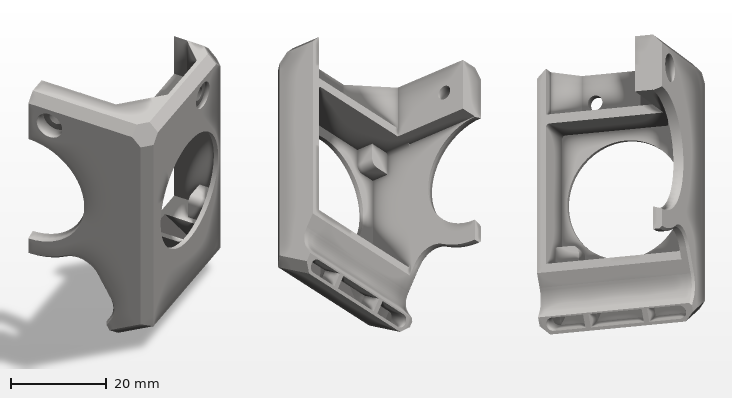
import cadquery as cq
import math

width = 28.5
depth = 34.0
height = 56.85
bevel = 2.0
corner_cut = 3 * bevel
plate = 2.0
beam = 5.95
block_x = 17.5
margin = 2.85

foot_angle = math.radians(30)
tip_x = 20.15
heel_z = (width - tip_x) * math.tan(foot_angle)

groove_radius = 5.0
groove_x = 14.8
groove_z = 7.5
groove_edge = 0.5
opening_z = 32.25
rim_radius = 17.45
blend_radius = 5.45

opening_radius = 12.55
opening_front_radius = 13.2

fan_bottom = 14.6
fan_height = 30.3
fan_top = fan_bottom + fan_height
fan_corner = 0.8
fan_wall_x = width - 1.0
fan_hole_diameter = 25.7
fan_hole_y = 18.0
fan_hole_z = 29.75
post_size = 5.1
post_round = 1.55
post_height = 4

bay_floor = fan_top + plate
bay_back_x = 25.55
bay_mouth_x = 20.45
bay_side = bay_back_x - block_x

screw_diameter = 3.2
head_diameter = 6.0
head_depth = 3.0
side_head_depth = 1.0
screw_x = 5.0
screw_y = 24.0
screw_z = 50.8

inlet_x = 18.7
inlet_end_x = width - bevel
inlet_length = 17.05
slot_length = 30.95
slot_height = 2.9
slot_offset = 0.7
slot_depth = 4.55
throat_length = 27.85
rib = 1.2
rib_spread = 6.5
inlet_rib_spread = inlet_length / 6
rib_recess = 0.55


def block(x0, x1, y0, y1, z0, z1):
    """Box between two opposite corners."""
    return cq.Workplane("XY").box(x1 - x0, y1 - y0, z1 - z0, centered=False).translate((x0, y0, z0))


def side_prism(outline):
    """Closed XZ outline extruded over the whole depth."""
    return outline.close().extrude(-depth)


def make_side_profile():
    cos_a = math.cos(foot_angle)
    sin_a = math.sin(foot_angle)

    upper = (groove_x + groove_radius * cos_a, groove_z + groove_radius * sin_a)
    lower = (upper[0], groove_z - groove_radius * sin_a)
    tip_length = (lower[1] / cos_a + (tip_x - lower[0]) / sin_a) / 2
    lip = (tip_x - tip_length * sin_a, tip_length * cos_a)

    flank = upper[0] * cos_a + (upper[1] - opening_z) * sin_a - blend_radius
    reach = rim_radius + blend_radius
    along = math.sqrt(reach**2 - flank**2)
    blend_x = flank * cos_a + along * sin_a
    blend_dz = flank * sin_a - along * cos_a
    blend_z = opening_z + blend_dz
    flank_end = (blend_x + blend_radius * cos_a, blend_z + blend_radius * sin_a)
    rim_end = (blend_x * rim_radius / reach, opening_z + blend_dz * rim_radius / reach)
    rim_angle = math.asin(rim_end[0] / rim_radius) / 2
    rim_mid = (rim_radius * math.sin(rim_angle), opening_z - rim_radius * math.cos(rim_angle))

    profile = side_prism(
        cq.Workplane("XZ")
        .moveTo(0, height)
        .lineTo(width, height)
        .lineTo(width, heel_z)
        .lineTo(tip_x, 0)
        .lineTo(*lip)
        .lineTo(*lower)
        .threePointArc((groove_x + groove_radius, groove_z), upper)
        .lineTo(*flank_end)
        .threePointArc((blend_x, blend_z + blend_radius), rim_end)
        .threePointArc(rim_mid, (0, opening_z - rim_radius))
    )
    tiny = 0.05
    groove_edges = cq.selectors.BoxSelector(
        (tiny, -tiny, lip[1] + tiny), (groove_x + groove_radius, tiny, opening_z - opening_radius)
    )
    return profile.edges(groove_edges).chamfer(groove_edge)


def make_bevelled_envelope():
    """Outer shape with bevelled edges, running past the part on its -X side."""
    left = -2 * margin
    low_z = heel_z - (width - left) * math.tan(foot_angle)
    envelope = side_prism(
        cq.Workplane("XZ")
        .moveTo(left, height)
        .lineTo(width, height)
        .lineTo(width, heel_z)
        .lineTo(left, low_z)
    )
    envelope = envelope.faces(">X").edges(">Z").chamfer(bevel)
    for y, facing in ((0, -1), (depth, 1)):
        planes = [
            ((0, y, height - bevel), (0, facing, 1)),
            ((width - bevel, y, 0), (1, facing, 0)),
            ((tip_x - bevel * math.sin(foot_angle), y, bevel * math.cos(foot_angle)),
             (math.sin(foot_angle), facing, -math.cos(foot_angle))),
            ((width - corner_cut, y, height), (1, facing, 1)),
        ]
        for origin, normal in planes:
            bevel_plane = cq.Workplane(cq.Plane(origin, normal=normal))
            envelope = envelope.cut(bevel_plane.rect(4 * height, 4 * height).extrude(height))
    return envelope


def cut_inner_corner(body):
    """Leave a thin front plate, a thick beam along its top and the block at +X."""
    body = body.cut(block(-margin, block_x, plate, depth, 0, fan_top))
    return body.cut(block(-margin, block_x, beam, depth, fan_top, height))


def cut_front_opening(body):
    cone = cq.Solid.makeCone(
        opening_front_radius, opening_radius, plate, cq.Vector(0, 0, opening_z), cq.Vector(0, 1, 0)
    )
    return body.cut(cq.Workplane(cone))


def cut_fan_pocket(body):
    pocket = block(block_x, fan_wall_x, plate, depth - plate, fan_bottom, fan_top)
    pocket = pocket.edges("|X").edges(">Z").fillet(fan_corner)
    pocket = pocket.faces("<Y").edges("<Z").fillet(fan_corner)
    post = block(fan_wall_x - post_height, width, -post_size, post_size, -post_size, post_size)
    post = post.edges("|X").fillet(post_round)
    pocket = pocket.cut(post.translate((0, plate, fan_top)))
    pocket = pocket.cut(post.translate((0, depth - plate, fan_bottom)))
    air_hole = cq.Workplane("YZ", origin=(block_x, fan_hole_y, fan_hole_z)).circle(fan_hole_diameter / 2)
    return body.cut(pocket).cut(air_hole.extrude(width))


def cut_bay(body):
    back = depth - plate
    bay = (
        cq.Workplane("XY", origin=(0, 0, bay_floor))
        .moveTo(block_x, beam)
        .lineTo(bay_back_x, beam + bay_side)
        .lineTo(bay_back_x, back - (bay_back_x - bay_mouth_x))
        .lineTo(bay_mouth_x, back)
        .lineTo(block_x, back)
        .close()
        .extrude(height)
    )
    return body.cut(bay)


def cut_screw_holes(body):
    front = cq.Workplane("XZ").center(screw_x, screw_z)
    body = body.cut(front.circle(screw_diameter / 2).extrude(-beam))
    body = body.cut(front.circle(head_diameter / 2).extrude(-head_depth))
    side = cq.Workplane("YZ", origin=(bay_mouth_x, 0, 0)).center(screw_y, screw_z)
    body = body.cut(side.circle(screw_diameter / 2).extrude(width))
    side_head = cq.Workplane("YZ", origin=(width - side_head_depth, 0, 0)).center(screw_y, screw_z)
    return body.cut(side_head.circle(head_diameter / 2).extrude(margin))


def cut_duct(body):
    middle = depth / 2
    inward = (math.cos(foot_angle), math.sin(foot_angle))
    slot_middle = slot_offset + slot_height / 2
    slot_x = tip_x - slot_middle * math.sin(foot_angle)
    slot_z = slot_middle * math.cos(foot_angle)

    def tip_plane(distance):
        """Plane parallel to the tip face, this far inside it, with local X along Y."""
        origin = (slot_x + distance * inward[0], middle, slot_z + distance * inward[1])
        return cq.Plane(origin, xDir=(0, 1, 0), normal=(inward[0], 0, inward[1]))

    def passage(inlet_y, inlet_size_y, inlet_size_x, top_z, throat_y, throat_size_y, throat_size_u):
        """Loft from a rectangle near the pocket floor to a rectangle at the slot end."""
        inlet = cq.Plane(((inlet_x + inlet_end_x) / 2, middle, top_z), xDir=(0, 1, 0), normal=(0, 0, 1))
        throat = cq.Workplane(tip_plane(slot_depth))
        wires = [
            cq.Workplane(inlet).center(inlet_y, 0).rect(inlet_size_y, inlet_size_x).wires().val(),
            throat.center(throat_y, 0).rect(throat_size_y, throat_size_u).wires().val(),
        ]
        return cq.Workplane(cq.Solid.makeLoft(wires, True))

    funnel = passage(0, inlet_length, inlet_end_x - inlet_x, fan_bottom, 0, throat_length, slot_height)
    slot = cq.Workplane(tip_plane(-margin)).slot2D(slot_length, slot_height).extrude(margin + slot_depth)
    duct = funnel.union(slot)
    for side in (-1, 1):
        rib_loft = passage(
            side * inlet_rib_spread, rib, inlet_end_x - inlet_x + margin, fan_bottom - rib_recess,
            side * rib_spread, rib, slot_height + margin,
        )
        duct = duct.cut(rib_loft)
        rib_end = cq.Workplane(tip_plane(-margin)).center(side * rib_spread, 0).rect(rib, 2 * slot_height)
        duct = duct.cut(rib_end.extrude(margin + slot_depth))
    return body.cut(duct)


result = make_side_profile().intersect(make_bevelled_envelope())
result = cut_inner_corner(result)
result = cut_front_opening(result)
result = cut_fan_pocket(result)
result = cut_bay(result)
result = cut_screw_holes(result)
result = cut_duct(result)